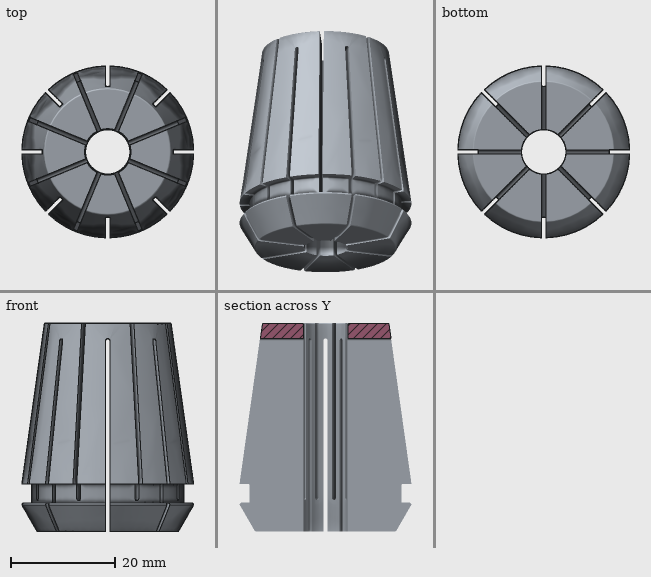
import cadquery as cq
import math

HEIGHT = 40.0
MAX_RADIUS = 16.5
BORE_DIAMETER = 8.5
BORE_CHAMFER = 0.2

NOSE_ANGLE = 30.0
NOSE_CONE_HEIGHT = 5.15
NOSE_FILLET = 0.3
FLANGE_TOP_Z = 5.5
FLANGE_TOP_RADIUS = 16.25

GROOVE_RADIUS = 14.6
GROOVE_FILLET = 0.2
SHOULDER_Z = 9.12

BODY_ANGLE = 8.0
TOP_FILLET = 0.3

SLOT_WIDTH = 0.8
SLOTS_PER_SET = 8
UPPER_SLOT_FLOOR_Z = 6.0
LOWER_SLOT_ROOF_Z = 37.0
SLOT_OVERRUN = 1.0

SLOT_PITCH = 360.0 / SLOTS_PER_SET
NOSE_RADIUS = MAX_RADIUS - NOSE_CONE_HEIGHT * math.tan(math.radians(NOSE_ANGLE))
TOP_RADIUS = MAX_RADIUS - (HEIGHT - SHOULDER_Z) * math.tan(math.radians(BODY_ANGLE))


def turned_body():
    """Revolve the outer profile and bore it through."""
    body = (
        cq.Workplane("XZ")
        .moveTo(0, 0)
        .lineTo(NOSE_RADIUS, 0)
        .lineTo(MAX_RADIUS, NOSE_CONE_HEIGHT)
        .lineTo(FLANGE_TOP_RADIUS, FLANGE_TOP_Z)
        .lineTo(GROOVE_RADIUS + GROOVE_FILLET, FLANGE_TOP_Z)
        .radiusArc((GROOVE_RADIUS, FLANGE_TOP_Z + GROOVE_FILLET), GROOVE_FILLET)
        .lineTo(GROOVE_RADIUS, SHOULDER_Z - GROOVE_FILLET)
        .radiusArc((GROOVE_RADIUS + GROOVE_FILLET, SHOULDER_Z), GROOVE_FILLET)
        .lineTo(MAX_RADIUS, SHOULDER_Z)
        .lineTo(TOP_RADIUS, HEIGHT)
        .lineTo(0, HEIGHT)
        .close()
        .revolve(360, (0, 0, 0), (0, 1, 0))
    )
    body = body.faces(">Z").edges().fillet(TOP_FILLET)
    body = body.faces("<Z").edges().fillet(NOSE_FILLET)
    bore = cq.Workplane("XY").circle(BORE_DIAMETER / 2).extrude(HEIGHT)
    body = body.cut(bore)
    bore_rim = cq.selectors.RadiusNthSelector(0)
    return body.faces(">Z").edges(bore_rim).chamfer(BORE_CHAMFER)


def slot_cutter(open_z, round_z, angle):
    """Blade across the full diameter, open at one end and rounded at the other."""
    half_width = SLOT_WIDTH / 2
    inward = math.copysign(half_width, open_z - round_z)
    half_length = MAX_RADIUS + SLOT_OVERRUN
    return (
        cq.Workplane("XZ")
        .moveTo(-half_width, open_z)
        .lineTo(-half_width, round_z + inward)
        .threePointArc((0, round_z), (half_width, round_z + inward))
        .lineTo(half_width, open_z)
        .close()
        .extrude(half_length, both=True)
        .rotate((0, 0, 0), (0, 0, 1), angle)
    )


def cut_slots(body):
    """Each full-diameter blade makes two opposite slots of its set."""
    for index in range(SLOTS_PER_SET // 2):
        lower_angle = index * SLOT_PITCH
        upper_angle = lower_angle + SLOT_PITCH / 2
        body = body.cut(slot_cutter(-SLOT_OVERRUN, LOWER_SLOT_ROOF_Z, lower_angle))
        body = body.cut(slot_cutter(HEIGHT + SLOT_OVERRUN, UPPER_SLOT_FLOOR_Z, upper_angle))
    return body


result = cut_slots(turned_body())